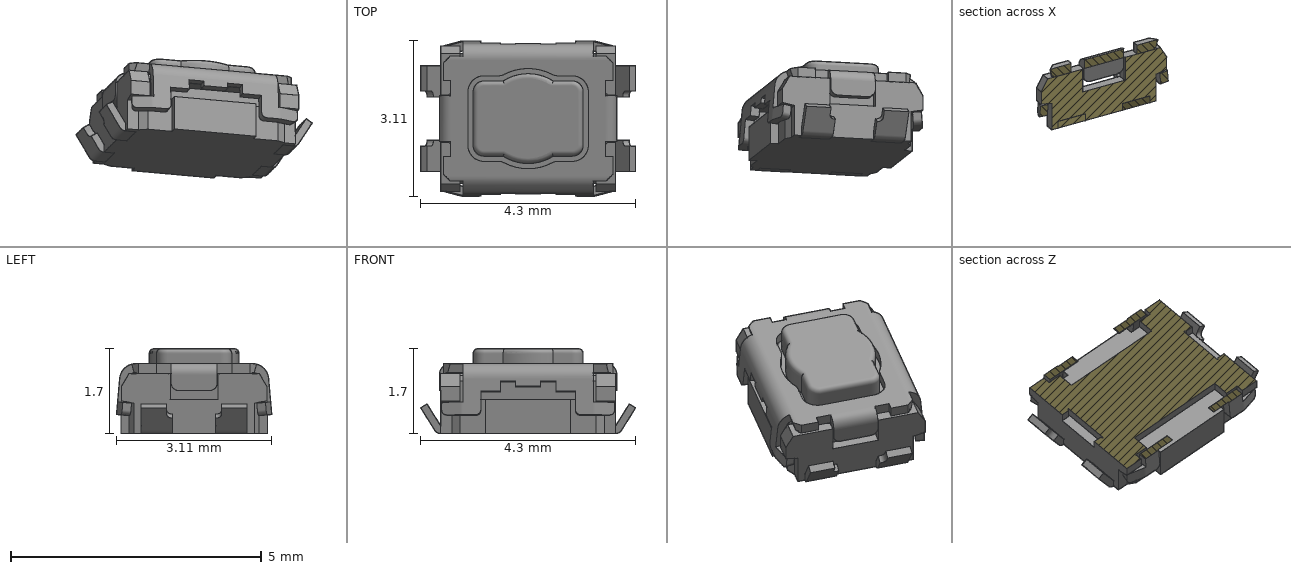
import cadquery as cq
import math


total_length = 4.3
total_depth = 3.11
button_top_z = 1.7
cover_top_z = 1.4
housing_top_z = 1.2

housing_half_length = 1.75
body_half_depth = 1.3
body_slope_start_z = 1.05
body_break_y = 1.25
body_break_z = 1.16
body_top_half_depth = 1.2
wing_inner_x = 1.36
wing_half_depth = 1.455
wing_slope_start_z = 0.94
wing_top_half_depth = 1.305
wing_root_y = 1.205
wing_underside_outer_z = 0.655
wing_underside_inner_z = 0.605
corner_facet_x = 1.522
boss_half_length = 0.85
boss_half_depth = 1.465
boss_height = 0.68
window_half_length = 1.075
window_back_y = 0.945
window_top_z = body_slope_start_z
recess_half_width = 0.475
recess_floor_z = 0.68
recess_flare = 0.04

plate_thickness = cover_top_z - housing_top_z
plate_half_length = 1.695
plate_corner = 0.135
plate_corner_bend_angle = 15.0
notch_depth = 0.145
notch_half_width = 0.755
sheet = 0.18
wall_tilt = 5.0
wall_bend_outer = 0.33
wall_bend_inner = wall_bend_outer - sheet
wall_half_length = 1.305
wall_drop = 0.722
leg_inner_x = 0.945
step_drop = 0.25
step_inner_x = 0.555
slot_drop = 0.05
tooth_half_length = 0.25
tooth_drop = 0.15
leg_radius = 0.1
hook_turn = 15.0
hook_length = 0.39
hook_top_drop = 0.47
tab_outer_x = 1.775
tab_half_width = 0.46
tab_bottom_z = 0.86
tab_radius = 0.15
tab_bend_start_x = plate_half_length - notch_depth
tab_bend_outer = tab_outer_x - tab_bend_start_x

button_half_length = 1.1
button_half_depth = 0.752
button_corner = 0.22
button_bulge = 0.145
button_bulge_half_length = 0.5
button_edge_radius = 0.1
opening_gap = 0.105
opening_fillet_diameter = 0.4

terminal_sheet = 0.15
terminal_angle = 58.0
terminal_bend = 0.138
terminal_tip_z = 0.515
terminal_foot = 0.215
terminal_outer_y = 1.058
terminal_inner_y = 0.43
terminal_step_y = 0.55
terminal_step_length = 0.24
terminal_step_radius = 0.1

tilt_sin = math.sin(math.radians(wall_tilt))
tilt_cos = math.cos(math.radians(wall_tilt))
wall_axis_y = total_depth / 2 - wall_drop * tilt_sin - wall_bend_outer * tilt_cos
wall_axis_z = cover_top_z - wall_bend_outer


def both_sides(solid, plane):
    """The solid together with its mirror image."""
    return solid.union(solid.mirror(plane))


def box_between(x_range, y_range, z_range):
    """Axis-aligned box given by its limits along X, Y and Z."""
    (x0, x1), (y0, y1), (z0, z1) = x_range, y_range, z_range
    return cq.Workplane("XY").box(x1 - x0, y1 - y0, z1 - z0, centered=False).translate((x0, y0, z0))



def housing_body():
    """Central block with sloped upper edges along both long sides and faceted lower corners."""
    half_section = [
        (0, 0),
        (body_half_depth, 0),
        (body_half_depth, body_slope_start_z),
        (body_break_y, body_break_z),
        (body_top_half_depth, housing_top_z),
        (0, housing_top_z),
    ]
    core = cq.Workplane("YZ").polyline(half_section).close().extrude(wing_inner_x, both=True)
    core = both_sides(core, "XZ")
    foot_outline = [
        (0, 0),
        (housing_half_length, 0),
        (housing_half_length, wing_root_y),
        (corner_facet_x, wing_root_y),
        (wing_inner_x, body_half_depth),
        (0, body_half_depth),
    ]
    foot = cq.Workplane("XY").polyline(foot_outline).close().extrude(wing_underside_outer_z)
    foot = both_sides(both_sides(foot, "XZ"), "YZ")
    return core.union(foot)


def housing_end():
    """End block at +X whose wings overhang the lower corners."""
    half_section = [
        (0, 0),
        (wing_root_y, 0),
        (wing_root_y, wing_underside_inner_z),
        (wing_half_depth, wing_underside_outer_z),
        (wing_half_depth, wing_slope_start_z),
        (wing_top_half_depth, housing_top_z),
        (0, housing_top_z),
    ]
    end = cq.Workplane("YZ").workplane(offset=wing_inner_x).polyline(half_section).close()
    end = end.extrude(housing_half_length - wing_inner_x)
    return both_sides(end, "XZ")


def end_recess():
    """Pocket in the +X end for the cover's end tab, flared at its back corners."""
    back_x = tab_bend_start_x
    outline = [
        (housing_half_length, recess_half_width),
        (back_x + recess_flare, recess_half_width),
        (back_x, recess_half_width + recess_flare),
        (back_x, -recess_half_width - recess_flare),
        (back_x + recess_flare, -recess_half_width),
        (housing_half_length, -recess_half_width),
    ]
    pocket = cq.Workplane("XY").workplane(offset=recess_floor_z).polyline(outline).close()
    return pocket.extrude(housing_top_z - recess_floor_z)


def side_window():
    """Pocket in the -Y side above the boss, behind the stepped edge of the cover wall."""
    return box_between(
        (-window_half_length, window_half_length),
        (-body_half_depth, -window_back_y),
        (boss_height, window_top_z),
    )


def make_housing(terminals):
    boss = box_between(
        (-boss_half_length, boss_half_length), (-boss_half_depth, boss_half_depth), (0, boss_height)
    )
    housing = housing_body().union(both_sides(housing_end(), "YZ")).union(boss)
    housing = housing.cut(both_sides(end_recess(), "YZ"))
    housing = housing.cut(both_sides(side_window(), "XZ"))
    for terminal in terminals:
        housing = housing.cut(terminal)
    return housing



def bulged_outline(workplane, gap):
    """Rectangle, grown by a gap, with a round bulge on each long side."""
    half_length = button_half_length + gap
    half_depth = button_half_depth + gap
    bulge_radius = (button_bulge_half_length**2 + button_bulge**2) / (2 * button_bulge)
    apex = button_half_depth + button_bulge + gap
    centre = apex - (bulge_radius + gap)
    bulge_end = math.sqrt((bulge_radius + gap)**2 - (half_depth - centre)**2)
    return (
        workplane.moveTo(-half_length, -half_depth)
        .lineTo(-bulge_end, -half_depth)
        .threePointArc((0, -apex), (bulge_end, -half_depth))
        .lineTo(half_length, -half_depth)
        .lineTo(half_length, half_depth)
        .lineTo(bulge_end, half_depth)
        .threePointArc((0, apex), (-bulge_end, half_depth))
        .lineTo(-half_length, half_depth)
        .close()
    )


def corner_edges(solid):
    """Upright edges at the four outer corners of a bulged block."""
    corner_zone = button_half_length - button_corner
    return solid.edges("|Z").filter(lambda edge: abs(edge.Center().x) > corner_zone)


def bulge_edges(solid):
    """Upright edges where the bulges of a bulged block meet its straight sides."""
    corner_zone = button_half_length - button_corner
    return solid.edges("|Z").filter(lambda edge: abs(edge.Center().x) < corner_zone)


def make_button():
    button = bulged_outline(cq.Workplane("XY").workplane(offset=housing_top_z), 0)
    button = button.extrude(button_top_z - housing_top_z)
    button = corner_edges(button).fillet(button_corner)
    return button.faces(">Z").edges().fillet(button_edge_radius)


def cover_opening():
    """Cutter for the opening, an even gap around the button with its inner bends rounded."""
    opening = bulged_outline(cq.Workplane("XY").workplane(offset=housing_top_z), opening_gap)
    opening = opening.extrude(plate_thickness)
    opening = corner_edges(opening).fillet(button_corner + opening_gap)
    return bulge_edges(opening).fillet(opening_fillet_diameter / 2)



def cover_plate():
    """Top plate with chamfered corners that follow the start of the bends, and notched ends."""
    plate = box_between(
        (-plate_half_length, plate_half_length),
        (-wall_axis_y, wall_axis_y),
        (housing_top_z, cover_top_z),
    )
    corner_bend = wall_bend(plate_corner_bend_angle, plate_half_length)
    plate = plate.union(both_sides(corner_bend, "XZ"))
    corner_y = wall_axis_y + wall_bend_outer * math.sin(math.radians(plate_corner_bend_angle))
    corner = (
        cq.Workplane("XY")
        .workplane(offset=housing_top_z)
        .moveTo(plate_half_length, corner_y)
        .lineTo(plate_half_length, corner_y - plate_corner)
        .lineTo(plate_half_length - plate_corner, corner_y)
        .close()
        .extrude(cover_top_z - housing_top_z)
    )
    notch = box_between(
        (plate_half_length - notch_depth, plate_half_length),
        (-notch_half_width, notch_half_width),
        (housing_top_z, cover_top_z),
    )
    removed = both_sides(both_sides(corner, "XZ").union(notch), "YZ")
    return plate.cut(removed)


def wall_bend(angle, half_length):
    """Bend along the plate's -Y edge, turning down through the angle in degrees."""
    def on_bend(radius, degrees):
        turn = math.radians(degrees)
        return -wall_axis_y - radius * math.sin(turn), wall_axis_z + radius * math.cos(turn)

    section = (
        cq.Workplane("YZ")
        .moveTo(*on_bend(wall_bend_inner, 0))
        .lineTo(*on_bend(wall_bend_outer, 0))
        .threePointArc(on_bend(wall_bend_outer, angle / 2), on_bend(wall_bend_outer, angle))
        .lineTo(*on_bend(wall_bend_inner, angle))
        .threePointArc(on_bend(wall_bend_inner, angle / 2), on_bend(wall_bend_inner, 0))
        .close()
    )
    return section.extrude(half_length, both=True)



def flat_wall():
    """Flat part of a side wall: two legs joined by a band with a stepped lower edge."""
    outline = [
        (0, 0),
        (wall_half_length, 0),
        (wall_half_length, wall_drop),
        (leg_inner_x, wall_drop),
        (leg_inner_x, step_drop),
        (step_inner_x, step_drop),
        (step_inner_x, slot_drop),
        (tooth_half_length, slot_drop),
        (tooth_half_length, tooth_drop),
        (0, tooth_drop),
    ]
    half = cq.Workplane("XY").polyline(outline).close().extrude(sheet)
    leg_corner = cq.selectors.NearestToPointSelector((leg_inner_x, wall_drop, sheet / 2))
    return both_sides(half.edges(leg_corner).fillet(leg_radius), "YZ")


def leg_hook():
    """Hook that turns inwards at the outer edge of the leg at +X, bent about the inner face."""
    def turned(along, depth, degrees):
        turn = math.radians(degrees)
        x = wall_half_length + along * math.cos(turn) + (sheet - depth) * math.sin(turn)
        return x, sheet + along * math.sin(turn) - (sheet - depth) * math.cos(turn)

    section = (
        cq.Workplane("XZ")
        .workplane(offset=-hook_top_drop)
        .moveTo(wall_half_length, 0)
        .threePointArc(turned(0, 0, hook_turn / 2), turned(0, 0, hook_turn))
        .lineTo(*turned(hook_length, 0, hook_turn))
        .lineTo(*turned(hook_length, sheet, hook_turn))
        .lineTo(wall_half_length, sheet)
        .close()
    )
    hook = section.extrude(hook_top_drop - wall_drop)
    tip_x, tip_z = turned(hook_length, sheet / 2, hook_turn)
    tip_corner = cq.selectors.NearestToPointSelector((tip_x, wall_drop, tip_z))
    return hook.edges(tip_corner).fillet(leg_radius)


def side_wall():
    """Complete wall at -Y: the bend, the legs and the hooks."""
    bend_end = (
        0,
        -wall_axis_y - wall_bend_outer * tilt_cos,
        wall_axis_z + wall_bend_outer * tilt_sin,
    )
    outer_face = cq.Plane(origin=bend_end, xDir=(1, 0, 0), normal=(0, tilt_cos, -tilt_sin))
    flat = flat_wall().union(both_sides(leg_hook(), "YZ"))
    flat = cq.Workplane(flat.val().moved(cq.Location(outer_face)))
    return wall_bend(90 - wall_tilt, wall_half_length).union(flat)


def end_tab():
    """Tab at +X, bent straight down from the plate."""
    bend_inner = tab_bend_outer - plate_thickness
    axis_z = cover_top_z - tab_bend_outer
    diagonal = math.sqrt(0.5)
    section = (
        cq.Workplane("XZ")
        .moveTo(tab_bend_start_x, cover_top_z)
        .threePointArc(
            (tab_bend_start_x + tab_bend_outer * diagonal, axis_z + tab_bend_outer * diagonal),
            (tab_outer_x, axis_z),
        )
        .lineTo(tab_outer_x, tab_bottom_z)
        .lineTo(tab_outer_x - plate_thickness, tab_bottom_z)
        .lineTo(tab_outer_x - plate_thickness, axis_z)
        .threePointArc(
            (tab_bend_start_x + bend_inner * diagonal, axis_z + bend_inner * diagonal),
            (tab_bend_start_x, cover_top_z - plate_thickness),
        )
        .close()
    )
    tab = section.extrude(tab_half_width, both=True)
    return tab.edges("|X").edges("<Z").fillet(tab_radius)


def make_cover():
    cover = cover_plate().cut(cover_opening())
    cover = cover.union(both_sides(side_wall(), "XZ"))
    return cover.union(both_sides(end_tab(), "YZ"))



def make_terminal():
    """Terminal at +X, +Y: a flat foot in the housing and a lead bent up, its tip narrowed."""
    sine = math.sin(math.radians(terminal_angle))
    cosine = math.cos(math.radians(terminal_angle))
    tip_x = total_length / 2
    bend_end_z = terminal_bend * (1 - cosine)
    bend_end_x = tip_x - (terminal_tip_z - bend_end_z) * cosine / sine
    bend_start_x = bend_end_x - terminal_bend * sine
    half_turn = math.radians(terminal_angle / 2)
    bend_middle = (
        bend_start_x + terminal_bend * math.sin(half_turn),
        terminal_bend * (1 - math.cos(half_turn)),
    )
    inner_tip = (tip_x - terminal_sheet * sine, terminal_tip_z + terminal_sheet * cosine)
    inner_bend_x = inner_tip[0] - (inner_tip[1] - terminal_sheet) * cosine / sine
    foot_end_x = housing_half_length - terminal_foot
    section = (
        cq.Workplane("XZ")
        .workplane(offset=-terminal_inner_y)
        .moveTo(foot_end_x, 0)
        .lineTo(bend_start_x, 0)
        .threePointArc(bend_middle, (bend_end_x, bend_end_z))
        .lineTo(tip_x, terminal_tip_z)
        .lineTo(*inner_tip)
        .lineTo(inner_bend_x, terminal_sheet)
        .lineTo(foot_end_x, terminal_sheet)
        .close()
    )
    terminal = section.extrude(terminal_inner_y - terminal_outer_y)

    tip = cq.Plane(
        origin=(tip_x, terminal_inner_y, terminal_tip_z), xDir=(0, 1, 0), normal=(-sine, 0, cosine)
    )
    step_width = terminal_step_y - terminal_inner_y
    step = box_between((0, step_width), (0, terminal_step_length), (0, terminal_sheet))
    step = step.edges("|Z").edges(">X and >Y").fillet(terminal_step_radius)
    return terminal.cut(cq.Workplane(step.val().moved(cq.Location(tip))))


def make_terminals():
    right_pair = [make_terminal(), make_terminal().mirror("XZ")]
    return right_pair + [terminal.mirror("YZ") for terminal in right_pair]



terminals = make_terminals()
housing = make_housing(terminals)
cover = make_cover()
button = make_button()

result = cq.Compound.makeCompound(
    [housing.val(), cover.val(), button.val(), *[terminal.val() for terminal in terminals]]
)